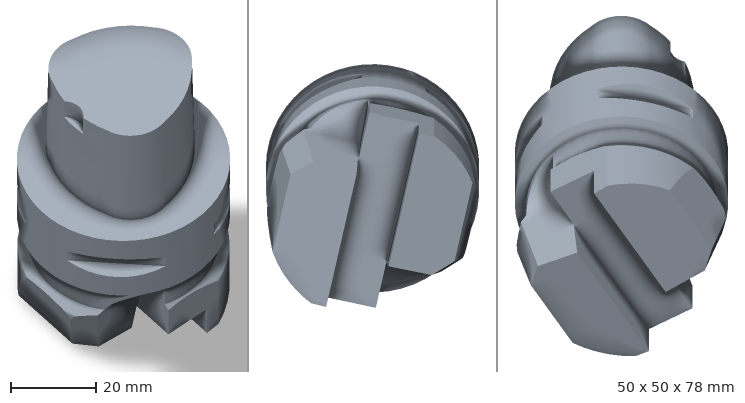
import cadquery as cq
import math

total_height = 78.0
flange_top = 48.0
flange_bottom = 27.9
neck_top = 26.7
neck_bottom = 19.1

flange_radius = 50.0 / 2
neck_radius = 45.0 / 2
head_radius = 24.9
head_edge_fillet = 1.2

lobe_radius = 18.7
side_radius = 16.15
seam_radius = 17.3
seam_angle = 35.5
shank_taper = 0.66
key_radius = 4.45
key_center_y = -18.25
key_depth = 5.7

groove_height = 38.0
groove_floor_distance = 22.15
groove_floor_width = 3.35
groove_side_angle = 30.0
groove_count = 4

head_half_width = 22.9
slot_half_width = 6.1
slot_height = 9.1
end_slope = 0.152
rear_end_height = 0.27
flat_height = 16.15
flat_distance = 23.7
flat_lean = 11.0

pocket_wall = 5.85
pocket_start_x = 10.1
pocket_lean = 10.3
pocket_arc_start = 17.1
pocket_radius = 10.0
corner_sum = 26.3
corner_slope = 0.362

clearance = 46.8


def round_body():
    """Head, neck and flange; the 45 degree head shoulder is rounded into its cylinder."""
    cone_bottom = neck_bottom - (head_radius - neck_radius)
    half_turn = math.radians(22.5)
    tangent = head_edge_fillet * math.tan(half_turn)
    leg = tangent * math.sin(math.radians(45))
    arc_center = (head_radius - head_edge_fillet, cone_bottom - tangent)
    arc_middle = (
        arc_center[0] + head_edge_fillet * math.cos(half_turn),
        arc_center[1] + head_edge_fillet * math.sin(half_turn),
    )
    return (
        cq.Workplane("XZ")
        .lineTo(head_radius, 0)
        .lineTo(head_radius, cone_bottom - tangent)
        .threePointArc(arc_middle, (head_radius - leg, cone_bottom + leg))
        .lineTo(neck_radius, neck_bottom)
        .lineTo(neck_radius, neck_top)
        .lineTo(flange_radius, flange_bottom)
        .lineTo(flange_radius, flange_top)
        .lineTo(0, flange_top)
        .close()
        .revolve(360, (0, 0), (0, 1))
    )


def polar(radius, angle):
    turn = math.radians(angle)
    return radius * math.cos(turn), radius * math.sin(turn)


def lobed_outline(plane, inset):
    outline = plane.moveTo(*polar(seam_radius - inset, -90 - seam_angle))
    for side_angle in (-90, 30, 150):
        outline = outline.threePointArc(
            polar(side_radius - inset, side_angle),
            polar(seam_radius - inset, side_angle + seam_angle),
        ).threePointArc(
            polar(lobe_radius - inset, side_angle + 60),
            polar(seam_radius - inset, side_angle + 120 - seam_angle),
        )
    return outline.close()


def shank():
    lower = lobed_outline(cq.Workplane("XY", origin=(0, 0, flange_top)), 0)
    upper = lower.workplane(offset=total_height - flange_top)
    tapered = lobed_outline(upper, shank_taper).loft(ruled=True, combine=True)
    key = (
        cq.Workplane("XY", origin=(0, 0, total_height - key_depth))
        .center(0, key_center_y)
        .circle(key_radius)
        .extrude(key_depth)
    )
    return tapered.cut(key)


def gripper_groove():
    """Groove with sloping sides across the +X side of the flange."""
    depth = flange_radius - groove_floor_distance + 0.8
    floor = groove_floor_width / 2
    mouth = floor + depth * math.tan(math.radians(groove_side_angle))
    outside = groove_floor_distance + depth
    return (
        cq.Workplane("XZ")
        .polyline([
            (groove_floor_distance, groove_height - floor),
            (outside, groove_height - mouth),
            (outside, groove_height + mouth),
            (groove_floor_distance, groove_height + floor),
        ])
        .close()
        .extrude(clearance, both=True)
    )


def head_envelope():
    """Space kept by the side flats, leaning flats and sloping end faces."""
    lean = math.tan(math.radians(flat_lean))
    flat_bottom = flat_distance - flat_height * lean
    flat_top = flat_bottom + neck_top * lean
    end_rise = (flat_bottom - slot_half_width) * end_slope
    end_z = end_rise / (1 - lean * end_slope)
    end_y = flat_bottom + end_z * lean
    rear_z = (end_rise + rear_end_height) / (1 - lean * end_slope)
    rear_y = flat_bottom + rear_z * lean
    return (
        cq.Workplane("YZ")
        .polyline([
            (-slot_half_width, 0),
            (-end_y, end_z),
            (-flat_top, neck_top),
            (flat_top, neck_top),
            (rear_y, rear_z),
            (slot_half_width, rear_end_height),
            (slot_half_width, slot_height),
            (-slot_half_width, slot_height),
        ])
        .close()
        .extrude(head_half_width, both=True)
    )


def chip_pocket():
    """Pocket in the +X, -Y quarter with a leaning floor and a round run-out."""
    lean = math.radians(pocket_lean)
    arc_start_x = pocket_start_x + pocket_arc_start * math.tan(lean)
    center_x = arc_start_x + pocket_radius * math.cos(lean)
    center_z = pocket_arc_start - pocket_radius * math.sin(lean)
    middle = math.radians(135 - pocket_lean / 2)
    arc_middle = (
        center_x + pocket_radius * math.cos(middle),
        center_z + pocket_radius * math.sin(middle),
    )
    pocket_top = center_z + pocket_radius
    return (
        cq.Workplane("XZ", origin=(0, -pocket_wall, 0))
        .moveTo(pocket_start_x, 0)
        .lineTo(arc_start_x, pocket_arc_start)
        .threePointArc(arc_middle, (center_x, pocket_top))
        .lineTo(clearance, pocket_top)
        .lineTo(clearance, 0)
        .close()
        .extrude(clearance)
    )


def corner_bevel():
    """Leaning 45 degree cut between the flat and the pocket floor."""
    bottom = corner_sum / math.sqrt(2)
    top = (corner_sum + corner_slope * neck_bottom) / math.sqrt(2)
    return (
        cq.Workplane("XZ")
        .polyline([
            (bottom, 0),
            (top, neck_bottom),
            (clearance, neck_bottom),
            (clearance, 0),
        ])
        .close()
        .extrude(clearance, both=True)
        .rotate((0, 0, 0), (0, 0, 1), -45)
    )


part = round_body()
for groove_index in range(groove_count):
    groove_angle = 45 + groove_index * 360 / groove_count
    part = part.cut(gripper_groove().rotate((0, 0, 0), (0, 0, 1), groove_angle))

upper_space = (
    cq.Workplane("XY", origin=(0, 0, neck_top))
    .circle(clearance)
    .extrude(flange_top - neck_top)
)
part = part.intersect(head_envelope().union(upper_space))

for turn in (0, 180):
    for cutter in (chip_pocket(), corner_bevel()):
        part = part.cut(cutter.rotate((0, 0, 0), (0, 0, 1), turn))

result = part.union(shank())